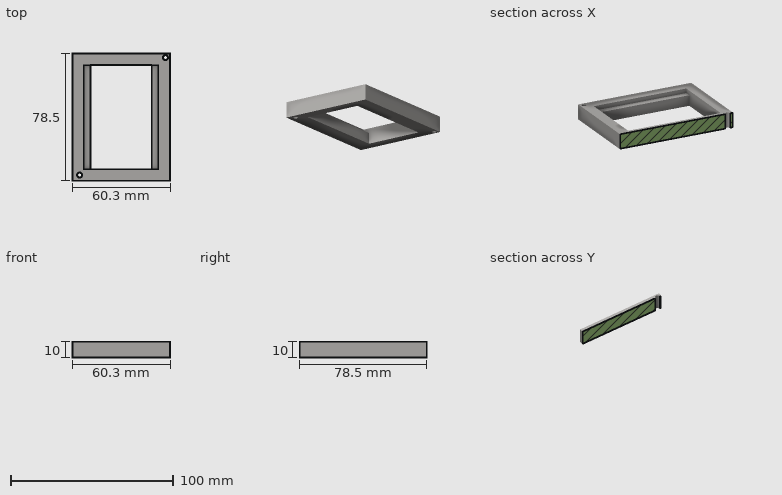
import cadquery as cq

length = 78.5
width = 60.3
height = 10.0

wall = 7.15
ledge_width = 4.15
ledge_drop = 3.0

hole_diameter = 3.0
rear_hole_inset_x = 2.8
rear_hole_inset_y = 2.5
front_hole_inset_x = 4.5
front_hole_inset_y = 3.5

window_width = width - 2 * wall
window_length = length - 2 * wall
hole_centers = [
    (width / 2 - rear_hole_inset_x, length / 2 - rear_hole_inset_y),
    (-width / 2 + front_hole_inset_x, -length / 2 + front_hole_inset_y),
]


def make_frame():
    """Rectangular frame, standing on Z = 0, with a straight window."""
    block = cq.Workplane("XY").rect(width, length).extrude(height)
    window = cq.Workplane("XY").rect(window_width, window_length).extrude(height)
    return block.cut(window)


def make_ledges():
    """Full-length ledges on the left and right walls of the window."""
    ledge_center_x = (window_width - ledge_width) / 2
    return (
        cq.Workplane("XY")
        .pushPoints([(-ledge_center_x, 0), (ledge_center_x, 0)])
        .rect(ledge_width, window_length)
        .extrude(height - ledge_drop)
    )


def make_corner_holes():
    """Cutters for the vertical corner holes."""
    return cq.Workplane("XY").pushPoints(hole_centers).circle(hole_diameter / 2).extrude(height)


result = make_frame().union(make_ledges()).cut(make_corner_holes())